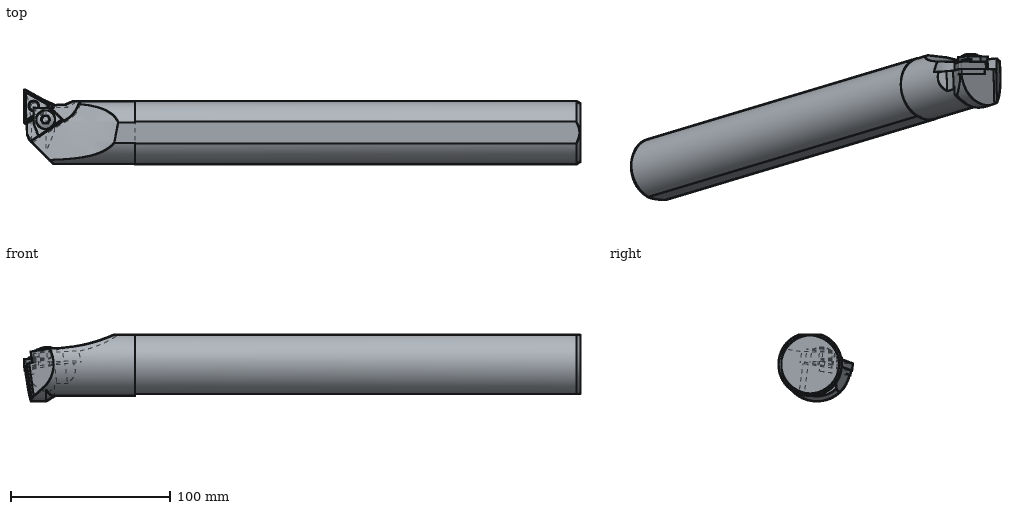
import cadquery as cq
import math

TOTAL_LENGTH = 350.0
TOTAL_WIDTH = 47.0
TOTAL_HEIGHT = 42.0
SHANK_RADIUS = 20.0
NECK_STEP = 0.15
NECK_RADIUS = SHANK_RADIUS - NECK_STEP
ACROSS_FLATS = 37.5
FLAT_HEIGHT = ACROSS_FLATS / 2
SHANK_START = 70.0
END_CHAMFER_LENGTH = 2.8
END_CHAMFER_DEPTH = 1.8

HEAD_RADIUS = 21.0
HEAD_Y = 4.2
HEAD_Z = FLAT_HEIGHT - TOTAL_HEIGHT + HEAD_RADIUS
HEAD_END = 19.2
HEAD_TAPER_LENGTH = 5.2
HEAD_TAPER_DEPTH = 3.0

FACE_X = 1.92
FACE_SLOPE_Y = 0.06
FACE_SLOPE_Z = 0.13
DIAGONAL_X = -1.0
CORNER_CHAMFER = 1.92

GULLET_TILT = 6.0
GULLET_PROFILE = [(-3.5, 7.0), (25.2, 8.8), (42.0, 12.0), (66.5, 23.8)]
GULLET_FRONT_SLOPE = 0.07
GULLET_REAR_SLOPE = 0.7

INSERT_SIDE = 22.0
INSERT_THICKNESS = 4.5
INSERT_CORNER_RADIUS = 0.7
CORNER_LOSS = INSERT_CORNER_RADIUS * (math.sqrt(3) - 1)
INSERT_HOLE_RADIUS = 2.62
RIM_WIDTH = 1.22
RECESS_DEPTH = 0.52
TIP_Y = TOTAL_WIDTH - SHANK_RADIUS + CORNER_LOSS
TIP_Z = 0.5
TILT_X = 0.13
TILT_Y = 0.14
SHIM_THICKNESS = 3.0
SHIM_INSET = 0.5

WALL_FRONT = (-7.5, -41.0)
WALL_BEND = (24.5, -21.5)
WALL_ARC_MIDDLE = (33.5, -13.5)
WALL_REAR = (35.7, -7.0)
POCKET_SIDE_Y = 7.0
RELIEF_EDGE = [(0, -1.0), (19.0, -9.8), (25.5, -9.8), (31.5, -7.5)]

CLAMP_HEIGHT = 4.0
CLAMP_OUTLINE = [(9.8, -30.8), (6.5, -22.5), (6.5, -12.5), (17.5, -13.0), (25.0, -20.3)]
NOSE_RADIUS = 3.0
NOSE_HEIGHT = 1.8
SCREW_X = 14.5
SCREW_Y = -20.3
SCREW_RADIUS = 6.0
SCREW_DOME_HEIGHT = 2.0
SOCKET_RADIUS = 2.8
SOCKET_DEPTH = 2.8

REACH = 70.0

SEAT_X_DIRECTION = (1 + TILT_Y**2, TILT_X * TILT_Y, TILT_X)
seat = cq.Plane(origin=(0, TIP_Y, TIP_Z), xDir=SEAT_X_DIRECTION, normal=(-TILT_X, TILT_Y, 1))
hole_x = INSERT_SIDE / (2 * math.sqrt(3))
hole_y = -INSERT_SIDE / 2


def seat_level(height):
    """Workplane parallel to the top of the insert, at a height above it."""
    return cq.Workplane(seat).workplane(offset=height)


def hole_cylinder(bottom, radius, top):
    """Cylinder on the axis of the insert's hole between two heights."""
    return seat_level(bottom).center(hole_x, hole_y).circle(radius).extrude(top - bottom)


def triangle_plate(top, thickness, inset):
    """Rounded triangular plate with its top at a height, shrunk evenly by an inset."""
    side = INSERT_SIDE - 2 * math.sqrt(3) * inset
    start_y = -math.sqrt(3) * inset
    outline = [
        (inset, start_y),
        (inset, start_y - side),
        (inset + side * math.sqrt(3) / 2, start_y - side / 2),
    ]
    plate = seat_level(top - thickness).polyline(outline).close().extrude(thickness)
    corners = cq.Workplane(plate.val()).edges(cq.selectors.ParallelDirSelector(seat.zDir))
    return corners.fillet(INSERT_CORNER_RADIUS)


def make_bar():
    """Round bar with an upper flat along it and a lower flat on the shank only."""
    neck = cq.Workplane("YZ").circle(NECK_RADIUS).extrude(SHANK_START)
    shank_end = cq.Workplane("YZ", origin=(SHANK_START, 0, 0))
    shank = shank_end.circle(SHANK_RADIUS).extrude(TOTAL_LENGTH - SHANK_START)
    bar = neck.union(shank.faces(">X").chamfer(END_CHAMFER_LENGTH, END_CHAMFER_DEPTH))
    above = (
        cq.Workplane("XY", origin=(0, 0, FLAT_HEIGHT))
        .rect(2 * TOTAL_LENGTH, 2 * SHANK_RADIUS)
        .extrude(SHANK_RADIUS)
    )
    below = (
        cq.Workplane("XY", origin=(SHANK_START, -SHANK_RADIUS, -FLAT_HEIGHT))
        .rect(TOTAL_LENGTH, 2 * SHANK_RADIUS, centered=False)
        .extrude(-SHANK_RADIUS)
    )
    return bar.cut(above).cut(below)


def make_head():
    """Eccentric round at the end of the bar, tapered at its rear edge."""
    head = cq.Workplane("YZ").center(HEAD_Y, HEAD_Z).circle(HEAD_RADIUS).extrude(HEAD_END)
    return head.faces(">X").chamfer(HEAD_TAPER_LENGTH, HEAD_TAPER_DEPTH)


def make_end_wedge():
    """Block that lies behind both the sloped end face and the diagonal face."""
    end_face = cq.Plane(
        origin=(FACE_X, 0, 0),
        xDir=(-FACE_SLOPE_Y, 1, 0),
        normal=(1, FACE_SLOPE_Y, FACE_SLOPE_Z),
    )
    diagonal_face = cq.Plane(origin=(DIAGONAL_X, 0, 0), xDir=(0, 0, 1), normal=(1, 1, 0))
    behind_end = cq.Workplane(end_face).rect(2 * REACH, 2 * REACH).extrude(2 * TOTAL_LENGTH)
    behind_diagonal = cq.Workplane(diagonal_face).rect(2 * REACH, 6 * TOTAL_LENGTH)
    behind_diagonal = behind_diagonal.extrude(2 * TOTAL_LENGTH)
    wedge = behind_end.intersect(behind_diagonal)
    corner = wedge.edges(cq.selectors.NearestToPointSelector((FACE_X, DIAGONAL_X - FACE_X, 0)))
    return corner.chamfer(CORNER_CHAMFER)


def make_gullet():
    """Space above the gullet surface."""
    space = (
        cq.Workplane("XZ", origin=(0, REACH, 0))
        .moveTo(*GULLET_PROFILE[0])
        .spline(
            GULLET_PROFILE[1:],
            tangents=[(1, GULLET_FRONT_SLOPE), (1, GULLET_REAR_SLOPE)],
            includeCurrent=True,
        )
        .lineTo(GULLET_PROFILE[-1][0], REACH)
        .lineTo(GULLET_PROFILE[0][0], REACH)
        .close()
        .extrude(2 * REACH)
    )
    return space.rotate((0, 0, 0), (1, 0, 0), -GULLET_TILT)


def make_pocket():
    """Space above the floor that carries the insert and the clamp, in front of the pocket wall."""
    floor = seat_level(-INSERT_THICKNESS)
    outline = floor.moveTo(*WALL_FRONT).lineTo(*WALL_BEND).threePointArc(WALL_ARC_MIDDLE, WALL_REAR)
    outline = outline.lineTo(WALL_REAR[0], POCKET_SIDE_Y).lineTo(WALL_FRONT[0], POCKET_SIDE_Y)
    return outline.close().extrude(REACH)


def make_side_relief():
    """Space outside the +Y side of the head, which follows the side of the insert."""
    rear_x = RELIEF_EDGE[-1][0]
    outline = RELIEF_EDGE + [(rear_x, REACH), (0, REACH)]
    return seat_level(-REACH).polyline(outline).close().extrude(2 * REACH)


def make_clamp(insert):
    """Clamp with a nose and pin in the insert's hole and a domed screw, fitted around the insert."""
    outline = seat_level(-INSERT_THICKNESS).polyline(CLAMP_OUTLINE).close()
    body = outline.extrude(INSERT_THICKNESS + CLAMP_HEIGHT)
    pin = hole_cylinder(-INSERT_THICKNESS, INSERT_HOLE_RADIUS, NOSE_HEIGHT)
    nose = hole_cylinder(-RECESS_DEPTH, NOSE_RADIUS, NOSE_HEIGHT)
    clamp_top = seat_level(CLAMP_HEIGHT).center(SCREW_X, SCREW_Y)
    ball_radius = (SCREW_RADIUS**2 + SCREW_DOME_HEIGHT**2) / (2 * SCREW_DOME_HEIGHT)
    ball = clamp_top.workplane(offset=SCREW_DOME_HEIGHT - ball_radius).sphere(ball_radius)
    dome = clamp_top.circle(SCREW_RADIUS).extrude(SCREW_DOME_HEIGHT).intersect(ball)
    socket_floor = clamp_top.workplane(offset=SCREW_DOME_HEIGHT - SOCKET_DEPTH)
    socket = socket_floor.polygon(6, 2 * SOCKET_RADIUS).extrude(REACH)
    return body.union(pin).union(nose).cut(insert).union(dome).cut(socket)


def make_insert():
    """Triangular plate with a through hole and a shallow recess inside a narrow rim."""
    hole = hole_cylinder(-INSERT_THICKNESS, INSERT_HOLE_RADIUS, 0)
    recess = triangle_plate(0, RECESS_DEPTH, RIM_WIDTH)
    return triangle_plate(0, INSERT_THICKNESS, 0).cut(recess).cut(hole)


insert = make_insert()
holder = make_bar().union(make_head()).intersect(make_end_wedge())
holder = holder.cut(make_side_relief()).cut(make_gullet()).cut(make_pocket())
shim = triangle_plate(-INSERT_THICKNESS, SHIM_THICKNESS, SHIM_INSET)
holder = holder.union(shim).union(make_clamp(insert))

result = cq.Compound.makeCompound([holder.solids().val(), insert.solids().val()])